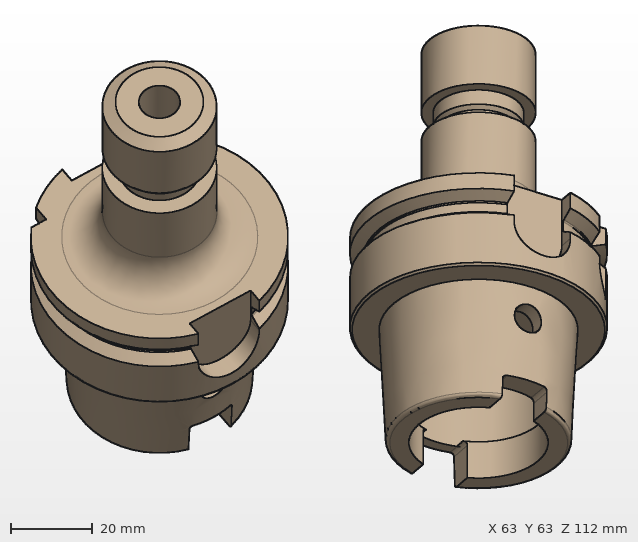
import cadquery as cq
import math

total_height = 112.0
flange_bottom = 32.0
flange_top = 58.0
nut_bottom = 93.6
shaft_top = 85.6

taper_per_side = 0.05
shank_top_radius = 24.3
shank_bottom_radius = shank_top_radius - taper_per_side * flange_bottom
mouth_round = 1.0
mouth_bore_radius = 17.0
mouth_bore_depth = 10.3
chamber_radius = 19.9
chamber_top = flange_bottom

flange_radius = 31.5
flange_edge_chamfer = 0.6
groove_floor_radius = 28.2
groove_middle = 50.2
groove_mouth_width = 6.8
groove_flank_angle = 30.0
groove_corner_round = 0.5

shaft_radius = 14.0
shaft_flare_radius = 10.0
neck_radius = 10.1
thread_radius = 11.1
thread_bottom = 89.6
nut_radius = 14.0
nut_chamfer_width = 3.2
nut_chamfer_height = 1.8
tool_bore_radius = 5.0
tool_bore_depth = total_height - nut_bottom

slot_floor = 26.3
slot_bottom = 37.1
left_slot_width = 16.0
right_slot_width = 18.0
notch_offset = 19.9

keyway_width = 12.5
keyway_corner_round = 1.0
left_keyway_height = 6.2
right_keyway_height = 10.3
cross_hole_radius = 3.8
cross_hole_height = 23.2


def make_body():
    groove_depth = flange_radius - groove_floor_radius
    flank_height = groove_depth * math.tan(math.radians(groove_flank_angle))
    mouth_half = groove_mouth_width / 2
    floor_half = mouth_half - flank_height
    profile = (
        cq.Workplane("XZ")
        .lineTo(shank_bottom_radius, 0)
        .lineTo(shank_top_radius, flange_bottom)
        .lineTo(flange_radius - flange_edge_chamfer, flange_bottom)
        .lineTo(flange_radius, flange_bottom + flange_edge_chamfer)
        .lineTo(flange_radius, groove_middle - mouth_half)
        .lineTo(groove_floor_radius, groove_middle - floor_half)
        .lineTo(groove_floor_radius, groove_middle + floor_half)
        .lineTo(flange_radius, groove_middle + mouth_half)
        .lineTo(flange_radius, flange_top)
        .lineTo(shaft_radius + shaft_flare_radius, flange_top)
        .radiusArc((shaft_radius, flange_top + shaft_flare_radius), shaft_flare_radius)
        .lineTo(shaft_radius, shaft_top)
        .lineTo(neck_radius, shaft_top)
        .lineTo(neck_radius, thread_bottom - (thread_radius - neck_radius))
        .lineTo(thread_radius, thread_bottom)
        .lineTo(thread_radius, nut_bottom)
        .lineTo(nut_radius, nut_bottom)
        .lineTo(nut_radius, total_height - nut_chamfer_height)
        .lineTo(nut_radius - nut_chamfer_width, total_height)
        .lineTo(0, total_height)
        .close()
    )
    body = profile.revolve(360, (0, 0, 0), (0, 1, 0))
    selection_margin = 0.1
    groove_corner_box = cq.selectors.BoxSelector(
        (-flange_radius, -flange_radius, groove_middle - floor_half - selection_margin),
        (flange_radius, flange_radius, groove_middle + floor_half + selection_margin),
        boundingbox=True,
    )
    body = body.edges(groove_corner_box).edges("%CIRCLE").fillet(groove_corner_round)
    return body.faces("<Z").edges().fillet(mouth_round)


def round_ended_slot(width, center_y, x_start, x_end):
    """Slot along X, open at the flange top, with a half-round lower end."""
    half_width = width / 2
    arc_center = slot_bottom + half_width
    return (
        cq.Workplane("YZ", origin=(x_start, center_y, 0))
        .moveTo(-half_width, flange_top)
        .lineTo(-half_width, arc_center)
        .threePointArc((0, slot_bottom), (half_width, arc_center))
        .lineTo(half_width, flange_top)
        .close()
        .extrude(x_end - x_start)
    )


def keyway(height, side):
    """Keyway across the shank wall, open at the mouth; side is -1 or +1 along X."""
    return (
        cq.Workplane("XY")
        .box(flange_radius, keyway_width, height, centered=(True, True, False))
        .edges("|X and >Z")
        .fillet(keyway_corner_round)
        .translate((side * flange_radius / 2, 0, 0))
    )


result = make_body()

result = result.cut(cq.Workplane("XY").circle(mouth_bore_radius).extrude(mouth_bore_depth))
result = result.cut(
    cq.Workplane("XY", origin=(0, 0, mouth_bore_depth))
    .circle(chamber_radius)
    .extrude(chamber_top - mouth_bore_depth)
)

result = result.cut(
    cq.Workplane("XY", origin=(0, 0, total_height))
    .circle(tool_bore_radius)
    .extrude(-tool_bore_depth)
)

notch_center_y = -notch_offset - left_slot_width / 2
result = result.cut(round_ended_slot(left_slot_width, 0, -flange_radius, -slot_floor))
result = result.cut(round_ended_slot(right_slot_width, 0, slot_floor, flange_radius))
result = result.cut(round_ended_slot(left_slot_width, notch_center_y, -flange_radius, -notch_offset))

result = result.cut(keyway(left_keyway_height, -1))
result = result.cut(keyway(right_keyway_height, 1))
result = result.cut(
    cq.Workplane("YZ", origin=(0, 0, cross_hole_height))
    .circle(cross_hole_radius)
    .extrude(flange_radius, both=True)
)